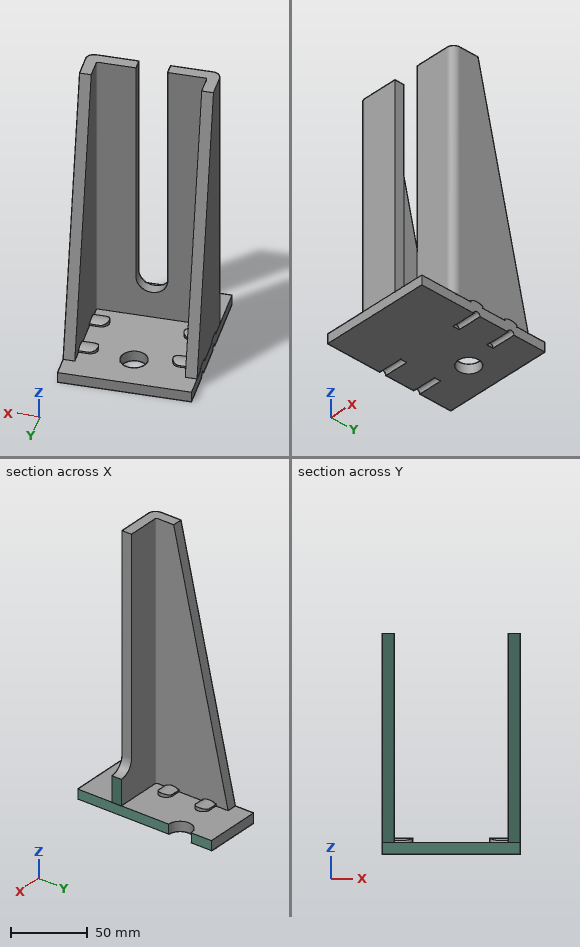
import cadquery as cq

WIDTH = 90.0
PLATE_DEPTH = 110.0
TOTAL_HEIGHT = 208.0
THICKNESS = 8.0
PLATE_BACK = PLATE_DEPTH / 2

PLATE_HOLE_DIAMETER = 18.3
PLATE_HOLE_SETBACK = 26.0

RIB_SETBACKS = (30.4, 60.7)
RIB_LENGTH = 20.0
RIB_WIDTH = 10.8
GROOVE_RADIUS = 2.7
RIB_RADIUS = GROOVE_RADIUS + THICKNESS
RIB_RISE = GROOVE_RADIUS

CHANNEL_BACK_SETBACK = 15.0
CHANNEL_TOP_SETBACK = 59.7
CHANNEL_FRONT_SETBACK = 82.0
OUTER_BEND_RADIUS = 5.8
INNER_BEND_RADIUS = 1.0
SLOT_WIDTH = 21.2
SLOT_BOTTOM = 27.9


def y_at(setback):
    """Y position at a distance from the plate back edge."""
    return PLATE_BACK - setback


def make_rod(side, y, z, radius):
    """Horizontal rod running inwards from one side edge; side is -1 or 1."""
    return (
        cq.Workplane("YZ", origin=(side * WIDTH / 2, 0, 0))
        .center(y, z)
        .circle(radius)
        .extrude(-side * RIB_LENGTH)
    )


def make_rib(side, y):
    """Rib above the plate top with an arched crown, low upright sides and a rounded inner end."""
    arch = make_rod(side, y, 0, RIB_RADIUS)
    footprint = (
        cq.Workplane("XY", origin=(side * WIDTH / 2, y, THICKNESS))
        .slot2D(2 * RIB_LENGTH, RIB_WIDTH)
        .extrude(RIB_RISE)
    )
    return arch.intersect(footprint)


def make_base_plate():
    plate = cq.Workplane("XY").box(WIDTH, PLATE_DEPTH, THICKNESS, centered=(True, True, False))
    hole = (
        cq.Workplane("XY")
        .center(0, y_at(PLATE_HOLE_SETBACK))
        .circle(PLATE_HOLE_DIAMETER / 2)
        .extrude(THICKNESS)
    )
    plate = plate.cut(hole)
    for side in (-1, 1):
        for setback in RIB_SETBACKS:
            y = y_at(setback)
            plate = plate.union(make_rib(side, y))
            plate = plate.cut(make_rod(side, y, 0, GROOVE_RADIUS))
    return plate


def make_channel_blank():
    """Side profile with sloping back edges, hollowed to a U section."""
    front = y_at(CHANNEL_FRONT_SETBACK)
    back = y_at(CHANNEL_BACK_SETBACK)
    blank = (
        cq.Workplane("YZ")
        .polyline([
            (front, THICKNESS),
            (back, THICKNESS),
            (y_at(CHANNEL_TOP_SETBACK), TOTAL_HEIGHT),
            (front, TOTAL_HEIGHT),
        ])
        .close()
        .extrude(WIDTH / 2, both=True)
        .edges("|Z")
        .fillet(OUTER_BEND_RADIUS)
    )
    inner_front = front + THICKNESS
    hollow = (
        cq.Workplane("XY")
        .box(WIDTH - 2 * THICKNESS, back - inner_front, TOTAL_HEIGHT, centered=(True, False, False))
        .translate((0, inner_front, 0))
        .edges("|Z and <Y")
        .fillet(INNER_BEND_RADIUS)
    )
    return blank.cut(hollow)


def make_front_slot():
    """Open-topped slot with a round bottom through the front wall."""
    radius = SLOT_WIDTH / 2
    arc_center = SLOT_BOTTOM + radius
    return (
        cq.Workplane("XZ", origin=(0, y_at(CHANNEL_FRONT_SETBACK), 0))
        .moveTo(-radius, TOTAL_HEIGHT)
        .lineTo(-radius, arc_center)
        .threePointArc((0, SLOT_BOTTOM), (radius, arc_center))
        .lineTo(radius, TOTAL_HEIGHT)
        .close()
        .extrude(-THICKNESS)
    )


def make_channel():
    channel = make_channel_blank().cut(make_front_slot())
    for side in (-1, 1):
        for setback in RIB_SETBACKS:
            channel = channel.cut(make_rib(side, y_at(setback)))
    return channel


base_plate = make_base_plate()
channel = make_channel()
result = cq.Compound.makeCompound([base_plate.val(), channel.val()])